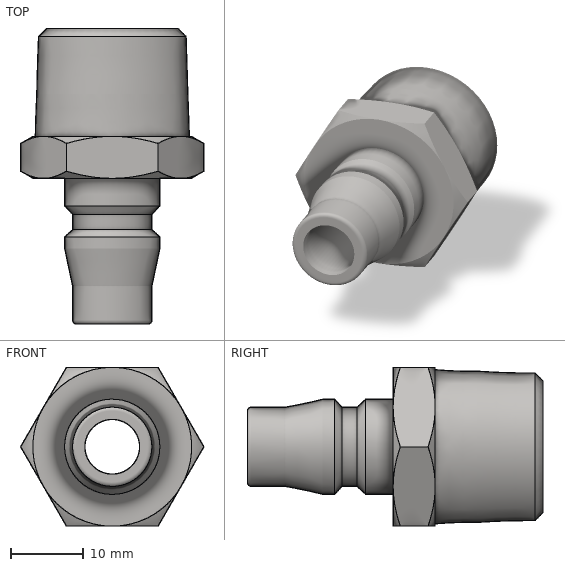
import cadquery as cq
import math

length = 41.0
tip_round = 0.55
nose_end = 5.25
flare_end = 10.45
collar_end = 12.1
groove_start = 13.1
groove_end = 15.2
shank_start = 16.4
hex_start = 20.2
hex_end = 26.05
thread_gauge = 31.85
end_chamfer = 1.15

bore_radius = 3.77
nose_radius = 5.5
collar_radius = 6.6
thread_root_radius = 10.7
thread_gauge_radius = 10.5
thread_end_radius = 10.25

across_flats = 22.0
across_corners = across_flats / math.cos(math.radians(30))
hex_chamfer_angle = 30.0


def turned_body():
    """Plug, shank and tapered thread blank, revolved about Y."""
    thread_chamfer_start = length - end_chamfer
    return (
        cq.Workplane("XY")
        .lineTo(nose_radius - tip_round, 0)
        .radiusArc((nose_radius, tip_round), -tip_round)
        .lineTo(nose_radius, nose_end)
        .lineTo(collar_radius, flare_end)
        .lineTo(collar_radius, collar_end)
        .lineTo(nose_radius, groove_start)
        .lineTo(nose_radius, groove_end)
        .lineTo(collar_radius, shank_start)
        .lineTo(collar_radius, hex_end)
        .lineTo(thread_root_radius, hex_end)
        .lineTo(thread_gauge_radius, thread_gauge)
        .lineTo(thread_end_radius, thread_chamfer_start)
        .lineTo(thread_end_radius - end_chamfer, length)
        .lineTo(0, length)
        .close()
        .revolve(360, (0, 0), (0, 1))
    )


def hex_collar():
    """Hexagon with the corners turned off conically on both faces."""
    flat_radius = across_flats / 2
    corner_radius = across_corners / 2
    drop = (corner_radius - flat_radius) * math.tan(math.radians(hex_chamfer_angle))
    prism = (
        cq.Workplane("XZ", origin=(0, hex_start, 0))
        .polygon(6, across_corners)
        .extrude(hex_start - hex_end)
    )
    envelope = (
        cq.Workplane("XY")
        .moveTo(0, hex_start)
        .lineTo(flat_radius, hex_start)
        .lineTo(corner_radius, hex_start + drop)
        .lineTo(corner_radius, hex_end - drop)
        .lineTo(flat_radius, hex_end)
        .lineTo(0, hex_end)
        .close()
        .revolve(360, (0, 0), (0, 1))
    )
    return prism.intersect(envelope)


bore = cq.Workplane("XZ").circle(bore_radius).extrude(-length)
result = turned_body().union(hex_collar()).cut(bore)